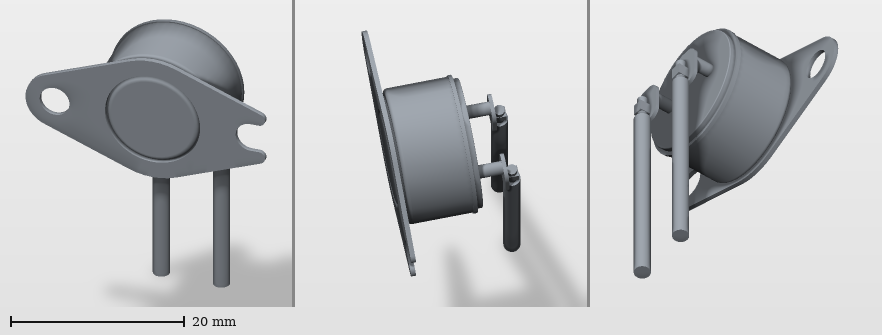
import cadquery as cq
import math


overall_depth = 14.8
overall_height = 38.03

flange_thickness = 0.57
flange_waist_radius = 7.87
ear_radius = 3.55
hole_offset = 11.9
hole_diameter = 3.6
hole_radius = hole_diameter / 2
flange_right_end = 13.65

button_flat_radius = 5.02
button_edge_radius = 5.55
groove_radius = 5.78
groove_depth = flange_thickness

neck_radius = 7.15
body_radius = 7.95
rim_radius = 8.1
lid_radius = 7.6
body_front = 0.87
body_rounding = 0.5
neck_rounding = body_front - flange_thickness
rim_front = 8.48
rim_back = 8.95
lid_back = 9.65
lid_rounding = 0.1

terminal_offset = 3.65
pin_diameter = 1.55
pin_radius = pin_diameter / 2
tab_width = 3.55
tab_height = 5.17
tab_corner_radius = 1.3
tab_front = 12.7
tab_back = 13.15
tab_top = pin_radius
crimp_width = 1.3
crimp_back = 14.53
crimp_top = -2.3
crimp_bottom = -3.75

sheath_diameter = 1.98
sheath_radius = sheath_diameter / 2
core_radius = 0.6
wire_y = overall_depth - sheath_radius
core_top = -1.37
sheath_top = -4.55
wire_bottom = rim_radius - overall_height


def facing_back(y):
    """Sketch plane at a given Y, with X to the right, Z up and extrusion toward -Y."""
    return cq.Workplane("XZ", origin=(0, y, 0))


def flange_plate():
    slope = math.asin((flange_waist_radius - ear_radius) / hole_offset)
    sin_s = math.sin(slope)
    cos_s = math.cos(slope)

    prong_radius = (flange_waist_radius - flange_right_end * sin_s - hole_radius * cos_s) / (
        1 - sin_s + cos_s
    )
    prong_x = flange_right_end - prong_radius
    prong_z = hole_radius + prong_radius

    ear_x = -hole_offset - ear_radius * sin_s
    ear_z = ear_radius * cos_s
    waist_x = flange_waist_radius * sin_s
    waist_z = flange_waist_radius * cos_s
    tip_x = prong_x + prong_radius * sin_s
    tip_z = prong_z + prong_radius * cos_s

    outline = (
        facing_back(flange_thickness)
        .moveTo(ear_x, ear_z)
        .lineTo(-waist_x, waist_z)
        .threePointArc((0, flange_waist_radius), (waist_x, waist_z))
        .lineTo(tip_x, tip_z)
        .threePointArc((flange_right_end, prong_z), (prong_x, hole_radius))
        .lineTo(hole_offset, hole_radius)
        .threePointArc((hole_offset - hole_radius, 0), (hole_offset, -hole_radius))
        .lineTo(prong_x, -hole_radius)
        .threePointArc((flange_right_end, -prong_z), (tip_x, -tip_z))
        .lineTo(waist_x, -waist_z)
        .threePointArc((0, -flange_waist_radius), (-waist_x, -waist_z))
        .lineTo(ear_x, -ear_z)
        .threePointArc((-hole_offset - ear_radius, 0), (ear_x, ear_z))
        .close()
    )
    ear_hole = (
        facing_back(flange_thickness)
        .center(-hole_offset, 0)
        .circle(hole_radius)
        .extrude(flange_thickness)
    )
    return outline.extrude(flange_thickness).cut(ear_hole)


def revolve_about_y(profile):
    return profile.close().revolve(360, (0, 0, 0), (0, 1, 0))


def round_housing():
    body_inset = body_rounding * (1 - math.sqrt(0.5))
    neck_inset = neck_rounding * (1 - math.sqrt(0.5))
    profile = (
        cq.Workplane("XY")
        .moveTo(0, flange_thickness)
        .lineTo(neck_radius - neck_rounding, flange_thickness)
        .threePointArc(
            (neck_radius - neck_inset, flange_thickness + neck_inset),
            (neck_radius, body_front),
        )
        .lineTo(body_radius - body_rounding, body_front)
        .threePointArc(
            (body_radius - body_inset, body_front + body_inset),
            (body_radius, body_front + body_rounding),
        )
        .lineTo(body_radius, rim_front)
        .lineTo(rim_radius, rim_front)
        .lineTo(rim_radius, rim_back)
        .lineTo(lid_radius, rim_back)
        .lineTo(lid_radius, lid_back)
        .lineTo(0, lid_back)
    )
    return revolve_about_y(profile).faces(">Y").edges().fillet(lid_rounding)


def button_groove():
    """Ring cut with an S-shaped inner side: a convex button edge, then a concave groove floor."""
    turn = 2 * math.atan(groove_depth / (groove_radius - button_flat_radius))
    convex_radius = (button_edge_radius - button_flat_radius) / math.sin(turn)
    concave_radius = (groove_radius - button_edge_radius) / math.sin(turn)
    mid_run = math.sin(turn / 2)
    mid_drop = 1 - math.cos(turn / 2)
    full_drop = 1 - math.cos(turn)
    profile = (
        cq.Workplane("XY")
        .moveTo(button_flat_radius, 0)
        .threePointArc(
            (button_flat_radius + convex_radius * mid_run, convex_radius * mid_drop),
            (button_edge_radius, convex_radius * full_drop),
        )
        .threePointArc(
            (groove_radius - concave_radius * mid_run, groove_depth - concave_radius * mid_drop),
            (groove_radius, groove_depth),
        )
        .lineTo(groove_radius, 0)
    )
    return revolve_about_y(profile)


def upright_cylinder(x, radius, bottom, top):
    return cq.Workplane("XY", origin=(x, wire_y, bottom)).circle(radius).extrude(top - bottom)


def terminal(x):
    pin = facing_back(tab_front).center(x, 0).circle(pin_radius).extrude(tab_front - lid_back)
    tab = (
        facing_back(tab_back)
        .center(x, tab_top - tab_height / 2)
        .rect(tab_width, tab_height)
        .extrude(tab_back - tab_front)
        .edges("|Y")
        .fillet(tab_corner_radius)
    )
    crimp = (
        facing_back(crimp_back)
        .center(x, (crimp_top + crimp_bottom) / 2)
        .rect(crimp_width, crimp_top - crimp_bottom)
        .extrude(crimp_back - tab_back)
    )
    crimp_bore = upright_cylinder(x, core_radius, crimp_bottom, crimp_top)
    return pin.union(tab).union(crimp.cut(crimp_bore))


def lead_wire(x):
    """Sheathed wire with a bare core that passes up through the crimp."""
    sheath = upright_cylinder(x, sheath_radius, wire_bottom, sheath_top)
    core = upright_cylinder(x, core_radius, sheath_top, core_top)
    return sheath.union(core)


terminal_places = (-terminal_offset, terminal_offset)

housing = flange_plate().union(round_housing()).cut(button_groove())
for place in terminal_places:
    housing = housing.union(terminal(place))

wires = [lead_wire(place) for place in terminal_places]

result = cq.Compound.makeCompound([housing.val(), *[wire.val() for wire in wires]])